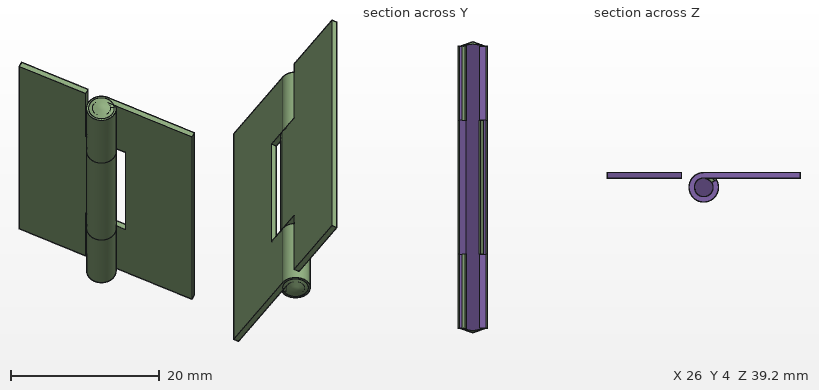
import cadquery as cq
import math

open_width = 26.0
leaf_height = 38.0
thickness = 0.8
knuckle_radius = 2.0
center_knuckle_height = 18.0
slot_reach = 2.98
pin_length = 39.2
head_radius = 1.72
curl_end_angle = 32.0

leaf_width = open_width / 2
bore_radius = knuckle_radius - thickness
plate_inner_y = bore_radius
plate_outer_y = knuckle_radius
head_height = (pin_length - leaf_height) / 2
end_knuckle_height = (leaf_height - center_knuckle_height) / 2
half_height = leaf_height / 2
half_center = center_knuckle_height / 2


def polar(radius, angle):
    """Point on a circle around the pin axis."""
    radians = math.radians(angle)
    return (radius * math.cos(radians), radius * math.sin(radians))


def curled_strip(bottom, height):
    """Plate along +X that rolls around the pin axis, open at a narrow seam."""
    middle_angle = (curl_end_angle + 90 - 360) / 2
    end_angle = curl_end_angle - 360
    return (
        cq.Workplane("XY", origin=(0, 0, bottom))
        .moveTo(leaf_width, plate_outer_y)
        .lineTo(0, plate_outer_y)
        .threePointArc(polar(knuckle_radius, middle_angle), polar(knuckle_radius, end_angle))
        .lineTo(*polar(bore_radius, end_angle))
        .threePointArc(polar(bore_radius, middle_angle), (0, plate_inner_y))
        .lineTo(leaf_width, plate_inner_y)
        .close()
        .extrude(height)
    )


def plate(inner_edge, bottom, height):
    """Flat part of a leaf from inner_edge to the free edge."""
    return (
        cq.Workplane("XY", origin=(0, 0, bottom))
        .moveTo(inner_edge, plate_inner_y)
        .lineTo(leaf_width, plate_inner_y)
        .lineTo(leaf_width, plate_outer_y)
        .lineTo(inner_edge, plate_outer_y)
        .close()
        .extrude(height)
    )


def make_outer_leaf():
    """Right leaf with a knuckle at each end."""
    lower = curled_strip(-half_height, end_knuckle_height)
    upper = curled_strip(half_center, end_knuckle_height)
    web = plate(slot_reach, -half_center, center_knuckle_height)
    return lower.union(web).union(upper).clean()


def make_center_leaf():
    """Left leaf with the single knuckle between the other two."""
    tongue = curled_strip(-half_center, center_knuckle_height)
    web = plate(slot_reach, -half_height, leaf_height)
    return tongue.union(web).clean().mirror("YZ")


def make_pin():
    """Pin filling the bore, with a conical head on each end."""
    return (
        cq.Workplane("XZ")
        .moveTo(0, -half_height - head_height)
        .lineTo(head_radius, -half_height)
        .lineTo(bore_radius, -half_height)
        .lineTo(bore_radius, half_height)
        .lineTo(head_radius, half_height)
        .lineTo(0, half_height + head_height)
        .close()
        .revolve(360, (0, 0, 0), (0, 1, 0))
    )


outer_leaf = make_outer_leaf()
center_leaf = make_center_leaf()
pin = make_pin()

result = cq.Compound.makeCompound([outer_leaf.val(), center_leaf.val(), pin.val()])